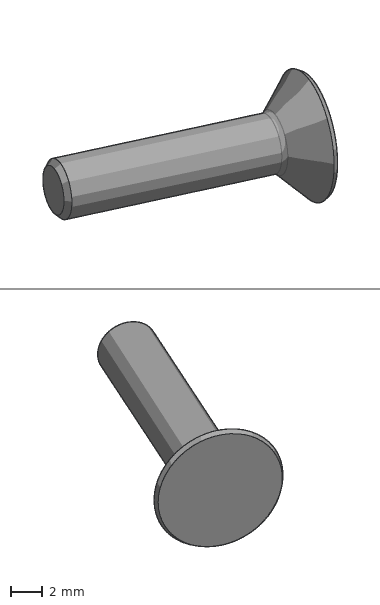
import cadquery as cq
import math


total_length = 18.0
shank_diameter = 4.0
head_diameter = 8.74
head_face_diameter = 8.4
head_height = 2.7
cone_half_angle = 45.0
under_head_radius = 0.5
tip_face_diameter = 3.242

shank_radius = shank_diameter / 2
head_radius = head_diameter / 2
head_face_radius = head_face_diameter / 2
tip_face_radius = tip_face_diameter / 2
tip_chamfer = shank_radius - tip_face_radius
half_angle = math.radians(cone_half_angle)
rim_height = head_height - (head_radius - shank_radius) / math.tan(half_angle)

fillet_tangent_length = under_head_radius * math.tan(half_angle / 2)
fillet_end_y = -head_height - fillet_tangent_length
fillet_center_x = shank_radius + under_head_radius


def fillet_point(angle):
    """Point on the fillet arc, turned by angle from where it meets the shank."""
    x = fillet_center_x - under_head_radius * math.cos(angle)
    y = fillet_end_y + under_head_radius * math.sin(angle)
    return x, y


def make_screw():
    """Revolve the half profile (X = radius) about the Y axis."""
    profile = (
        cq.Workplane("XY")
        .moveTo(0, 0)
        .lineTo(head_face_radius, 0)
        .lineTo(head_radius, -rim_height)
        .lineTo(*fillet_point(half_angle))
        .threePointArc(fillet_point(half_angle / 2), fillet_point(0))
        .lineTo(shank_radius, -total_length + tip_chamfer)
        .lineTo(tip_face_radius, -total_length)
        .lineTo(0, -total_length)
        .close()
    )
    return profile.revolve(360, (0, 0, 0), (0, 1, 0))


result = make_screw()